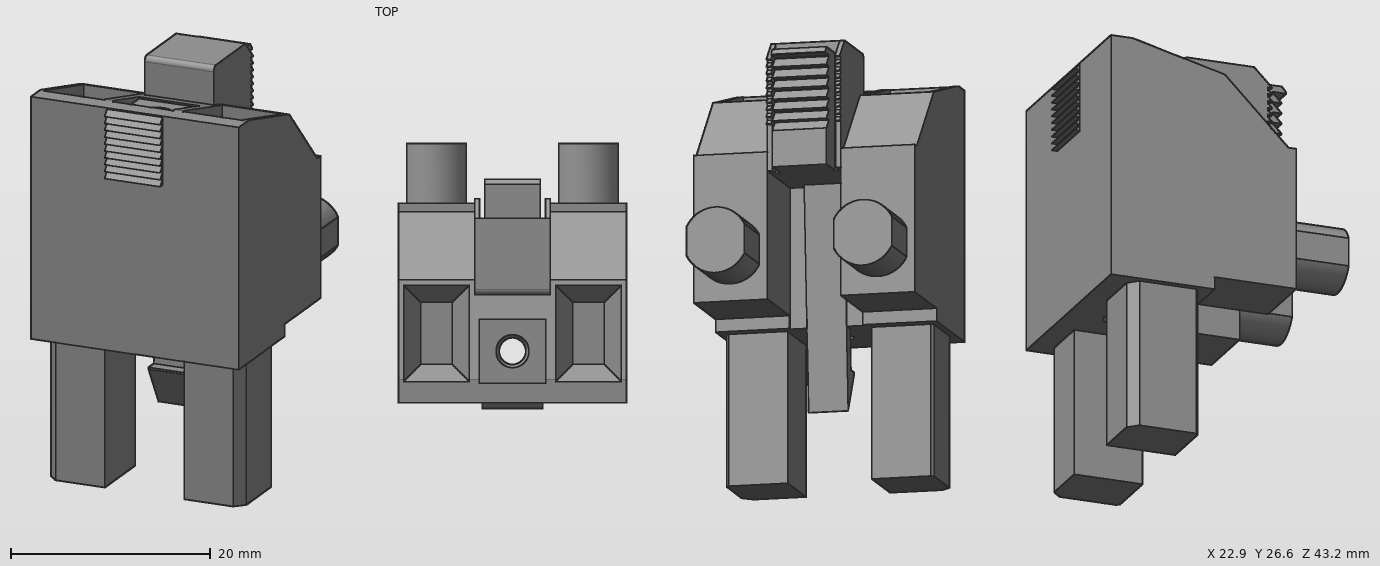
import cadquery as cq

WIDTH = 22.86
DEPTH = 20.0
HEIGHT = 25.7
TOP_FLAT = 2.35
SLOPE_END_Y = 12.3
SLOPE_END_Z = 23.2
SHELF = 0.85
SHELF_Z = SLOPE_END_Z - (DEPTH - SHELF - SLOPE_END_Y)
STEP_Y = 11.2
STEP_Z = 1.3
PITCH = 15.24

FUNNEL_WIDTH = 6.6
FUNNEL_LENGTH = 9.65
FUNNEL_Y = 6.95
FUNNEL_INSET = 1.72
FUNNEL_FLOOR_Z = 12.0
FUNNEL_TAPER_HEIGHT = 3.0

SOCKET_WIDTH = 6.65
SOCKET_LENGTH = 6.4
SOCKET_Y = 5.17
SOCKET_FLOOR_Z = 24.0
HOLE_TOP_DIAMETER = 3.3
HOLE_DIAMETER = 2.65
HOLE_CONE_Z = FUNNEL_FLOOR_Z
HOLE_CONE_HEIGHT = 0.6

GRIP_WIDTH = 6.1
GRIP_DEPTH = 0.6
GRIP_TEETH = 10
GRIP_PITCH = 0.73

PRONG_WIDTH = 6.4
PRONG_FRONT_Y = 2.35
PRONG_BACK_Y = 9.75
PRONG_LENGTH = 15.5
PRONG_INNER_X = 4.35
PRONG_KEY_CHAMFER = 1.0
PRONG_BACK_CHAMFER = 0.3

LATCH_WIDTH = 7.6
LATCH_FRONT_Y = 10.8
LATCH_TOP_Z = 27.65
LATCH_BOTTOM_Z = 14.4
LATCH_EDGE_RADIUS = 0.55
CORE_BACK_Y = 18.5
CHEEK_THICKNESS = 0.5
CHEEK_TEETH = 9
CHEEK_TOOTH_DEPTH = 0.45
TEETH_BOTTOM_Z = 19.1
CHEEK_PITCH = (HEIGHT - TEETH_BOTTOM_Z) / CHEEK_TEETH
PLATE_WIDTH = 5.6
PLATE_BACK_Y = 21.9
PLATE_TEETH = 6
PLATE_PITCH = (HEIGHT - TEETH_BOTTOM_Z) / PLATE_TEETH
PLATE_TOOTH_DEPTH = 1.0
LIP_TOP_Z = 26.4
LIP_OVERHANG = 0.5
LIP_EDGE = 0.1
LEG_WIDTH = 4.1
LEG_BACK_Y = 10.95
LEG_THICKNESS = 1.5
HOOK_TIP_Y = 10.3
HOOK_TIP_Z = -8.55
HOOK_RISE = 4.2
HOOK_REACH = 2.45
HOOK_LAND = 0.2

BUTTON_DIAMETER = 6.7
BUTTON_WIDTH = 6.0
BUTTON_LENGTH = 6.0
BUTTON_Z = 6.4


def prism(points, width):
    """Extrude a (Y, Z) outline symmetrically about the X = 0 plane."""
    return cq.Workplane("YZ").polyline(points).close().extrude(width / 2, both=True)


def tooth_points(face_y, top_z, pitch, depth, count, outward):
    """(Y, Z) points of sawteeth running down a face.

    Each tooth starts below a short strip of bare face, slopes out at 45 degrees to a sharp
    tip and has a level underside.
    """
    points = []
    for i in range(count):
        strip_z = top_z - i * pitch
        underside_z = strip_z - pitch
        points += [
            (face_y, strip_z),
            (face_y, underside_z + depth),
            (face_y + outward * depth, underside_z),
        ]
    points.append((face_y, top_z - count * pitch))
    return points


def make_back_box(width, front_y):
    """Cutting box standing on Z = 0, taller than the housing and open past its back."""
    return (
        cq.Workplane("XY")
        .box(width, 2 * DEPTH, LATCH_TOP_Z, centered=(True, False, False))
        .translate((0, front_y, 0))
    )


def make_block():
    return prism(
        [
            (0, 0),
            (0, HEIGHT),
            (TOP_FLAT, HEIGHT),
            (SLOPE_END_Y, SLOPE_END_Z),
            (DEPTH - SHELF, SHELF_Z),
            (DEPTH, SHELF_Z),
            (DEPTH, STEP_Z),
            (STEP_Y, STEP_Z),
            (STEP_Y, 0),
        ],
        WIDTH,
    )


def make_prong(side):
    """Keyed prong under one pole; side is -1 or +1 along X."""
    outer_x = PRONG_INNER_X + PRONG_WIDTH
    outline = [
        (PRONG_INNER_X, PRONG_FRONT_Y),
        (outer_x - PRONG_KEY_CHAMFER, PRONG_FRONT_Y),
        (outer_x, PRONG_FRONT_Y + PRONG_KEY_CHAMFER),
        (outer_x, PRONG_BACK_Y - PRONG_BACK_CHAMFER),
        (outer_x - PRONG_BACK_CHAMFER, PRONG_BACK_Y),
        (PRONG_INNER_X, PRONG_BACK_Y),
    ]
    points = [(side * x, y) for x, y in outline]
    return cq.Workplane("XY").polyline(points).close().extrude(-PRONG_LENGTH)


def make_funnel(x):
    """Wire funnel: an upright shaft, then four walls leaning in evenly to a flat floor."""
    shaft_z = FUNNEL_FLOOR_Z + FUNNEL_TAPER_HEIGHT
    shaft = (
        cq.Workplane("XY", origin=(x, FUNNEL_Y, shaft_z))
        .rect(FUNNEL_WIDTH, FUNNEL_LENGTH)
        .extrude(HEIGHT - shaft_z)
    )
    taper = (
        cq.Workplane("XY", origin=(x, FUNNEL_Y, FUNNEL_FLOOR_Z))
        .rect(FUNNEL_WIDTH - 2 * FUNNEL_INSET, FUNNEL_LENGTH - 2 * FUNNEL_INSET)
        .workplane(offset=FUNNEL_TAPER_HEIGHT)
        .rect(FUNNEL_WIDTH, FUNNEL_LENGTH)
        .loft()
    )
    return shaft.union(taper)


def make_test_socket():
    """Square recess with a stepped hole through the housing; a cone joins its two diameters."""
    recess = (
        cq.Workplane("XY", origin=(0, SOCKET_Y, SOCKET_FLOOR_Z))
        .rect(SOCKET_WIDTH, SOCKET_LENGTH)
        .extrude(HEIGHT - SOCKET_FLOOR_Z)
    )
    hole_profile = [
        (0, 0),
        (HOLE_DIAMETER / 2, 0),
        (HOLE_DIAMETER / 2, HOLE_CONE_Z),
        (HOLE_TOP_DIAMETER / 2, HOLE_CONE_Z + HOLE_CONE_HEIGHT),
        (HOLE_TOP_DIAMETER / 2, SOCKET_FLOOR_Z),
        (0, SOCKET_FLOOR_Z),
    ]
    hole = cq.Workplane("XZ", origin=(0, SOCKET_Y, 0)).polyline(hole_profile).close().revolve()
    return recess.union(hole)


def make_front_grip():
    teeth = tooth_points(0, HEIGHT, GRIP_PITCH, GRIP_DEPTH, GRIP_TEETH, -1)
    bottom_z = HEIGHT - GRIP_TEETH * GRIP_PITCH
    backing = [(GRIP_DEPTH, bottom_z), (GRIP_DEPTH, HEIGHT)]
    return prism(teeth + backing, GRIP_WIDTH)


def make_latch_channel():
    """Full-height channel in the back of the housing, filled at the top by the latch."""
    return make_back_box(LATCH_WIDTH, LATCH_FRONT_Y)


def make_housing(latch):
    housing = make_block().union(make_front_grip())
    housing = housing.cut(make_test_socket()).cut(make_latch_channel())
    for side in (-1, 1):
        housing = housing.cut(make_funnel(side * PITCH / 2))
        housing = housing.union(make_prong(side))
    return housing.cut(latch)


def make_latch_block():
    """Solid core whose two side cheeks run back to a finely toothed edge."""
    tip_y = DEPTH + CHEEK_TOOTH_DEPTH
    outline = [
        (LATCH_FRONT_Y, LATCH_BOTTOM_Z),
        (LATCH_FRONT_Y, LATCH_TOP_Z),
        (CORE_BACK_Y, LATCH_TOP_Z),
        (tip_y, HEIGHT),
    ]
    outline += tooth_points(DEPTH, HEIGHT, CHEEK_PITCH, CHEEK_TOOTH_DEPTH, CHEEK_TEETH, 1)
    outline.append((DEPTH, LATCH_BOTTOM_Z))
    block = prism(outline, LATCH_WIDTH)
    block = block.faces(">Z").edges("<Y").fillet(LATCH_EDGE_RADIUS)
    hollow_width = LATCH_WIDTH - 2 * CHEEK_THICKNESS
    hollow = make_back_box(hollow_width, CORE_BACK_Y)
    return block.cut(hollow)


def make_thumb_plate():
    """Coarsely toothed plate on the back of the core, with an overhanging lip on top."""
    root_y = PLATE_BACK_Y - PLATE_TOOTH_DEPTH
    lip_y = PLATE_BACK_Y + LIP_OVERHANG
    outline = [
        (CORE_BACK_Y, LATCH_BOTTOM_Z),
        (CORE_BACK_Y, LIP_TOP_Z),
        (PLATE_BACK_Y, LIP_TOP_Z),
        (lip_y, HEIGHT + LIP_EDGE),
        (lip_y, HEIGHT),
    ]
    outline += tooth_points(root_y, HEIGHT, PLATE_PITCH, PLATE_TOOTH_DEPTH, PLATE_TEETH, 1)
    outline += [
        (PLATE_BACK_Y, TEETH_BOTTOM_Z - PLATE_TOOTH_DEPTH),
        (PLATE_BACK_Y, LATCH_BOTTOM_Z),
    ]
    return prism(outline, PLATE_WIDTH)


def make_leg():
    """Leaning leg that ends below the housing in a hook facing the front."""
    lean = (LEG_BACK_Y - HOOK_TIP_Y) / -HOOK_TIP_Z
    ledge_z = HOOK_TIP_Z + HOOK_RISE + HOOK_LAND

    def back_y(z):
        return LEG_BACK_Y + lean * z

    return prism(
        [
            (back_y(LATCH_BOTTOM_Z), LATCH_BOTTOM_Z),
            (HOOK_TIP_Y, HOOK_TIP_Z),
            (HOOK_TIP_Y - HOOK_REACH, HOOK_TIP_Z + HOOK_RISE),
            (HOOK_TIP_Y - HOOK_REACH, ledge_z),
            (back_y(ledge_z) - LEG_THICKNESS, ledge_z),
            (back_y(LATCH_BOTTOM_Z) - LEG_THICKNESS, LATCH_BOTTOM_Z),
        ],
        LEG_WIDTH,
    )


def make_latch():
    return make_latch_block().union(make_thumb_plate()).union(make_leg())


def make_button(x):
    """Round button with two flat sides, standing on the back face of the housing."""
    flats = cq.Workplane("XY").box(BUTTON_WIDTH, BUTTON_LENGTH, BUTTON_DIAMETER)
    button = cq.Workplane("XZ").circle(BUTTON_DIAMETER / 2).extrude(BUTTON_LENGTH / 2, both=True)
    return button.intersect(flats).translate((x, DEPTH + BUTTON_LENGTH / 2, BUTTON_Z))


latch = make_latch()
housing = make_housing(latch)
buttons = [make_button(side * PITCH / 2) for side in (-1, 1)]

result = cq.Compound.makeCompound(
    [housing.val(), latch.val(), *[button.val() for button in buttons]]
)